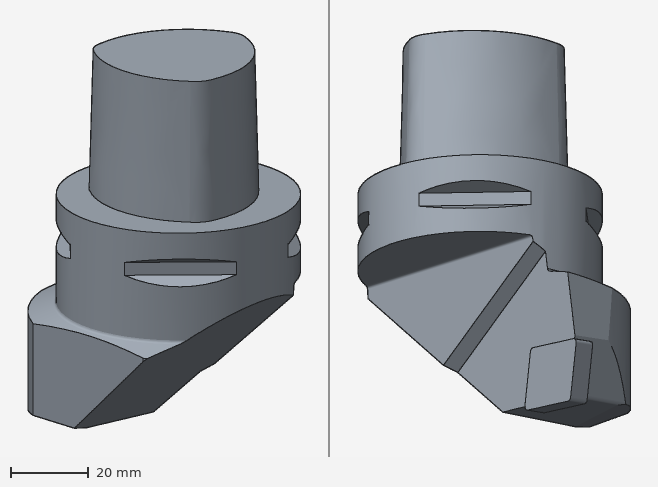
import cadquery as cq
import math

REACH = 206.0

SHANK_HEIGHT = 38.0
SIDE_DISTANCE = 20.5
SIDE_RADIUS = 29.0
LOBE_DISTANCE = 23.5
SIDE_HALF_CHORD = 17.9
SHANK_INSET = 1.0

FLANGE_RADIUS = 63.0 / 2
SHELF_Z = -20.9
SHELF_FILLET = 0.8
NECK_FILLET = 0.8
NECK_Z = -29.9

GROOVE_COUNT = 4
GROOVE_FLOOR_DISTANCE = 28.0
GROOVE_Z = -10.8
GROOVE_FLOOR_HEIGHT = 3.5
GROOVE_WALL_ANGLE = 30.0

HEAD_RADIUS = 38.8
HEAD_SLOPE = 15.5
HEAD_BOTTOM = -65.9
FRONT_Y = -33.5
RELIEF_POINT = (FLANGE_RADIUS, 0, -21.3)
RELIEF_SLOPE = 0.974
CHAMFER_Z = -56.9
CHAMFER_SLOPE = 0.3

FLANK_POINT = (-38.0, 4.0, -31.7)
FLANK_NORMAL = (-1, -0.08, 0.03)
LOWER_FLANK_POINT = (-37.3, -11.0, -46.7)
LOWER_FLANK_NORMAL = (-1, -0.12, -0.25)
UNDERSIDE_POINT = (-10.7, 2.1, -62.5)
UNDERSIDE_NORMAL = (0.058, -0.12, -1)
NOSE_RADIUS = 1.0

RAKE_POINT = (-38.0, 4.0, -31.6)
RAKE_NORMAL = (-0.07, 1, -0.13)
STEP_HEIGHT = 3.2
STEP_START = (-31.1, -24.6)
STEP_END = (3.4, -48.7)
STEP_WALL_ANGLE = 40.0

INSERT_TIP = (-34.5, -65.0)
INSERT_SIDE = 16.3
INSERT_THICKNESS = 6.2
INSERT_CORNER_RADIUS = 1.0
INSERT_BOTTOM_ANGLE = 3.8
INSERT_LEAD_ANGLE = 105.0


def polar(radius, angle):
    """Point at a radius and an angle in degrees."""
    a = math.radians(angle)
    return (radius * math.cos(a), radius * math.sin(a))


def outside(point, normal):
    """Large block lying on the outer side of a plane."""
    plane = cq.Plane(origin=point, normal=tuple(normal))
    return cq.Workplane(plane).rect(REACH, REACH).extrude(REACH)


def make_shank():
    sag = SIDE_RADIUS - math.sqrt(SIDE_RADIUS**2 - SIDE_HALF_CHORD**2)
    end_y = sag - SIDE_DISTANCE
    end_radius = math.hypot(SIDE_HALF_CHORD, end_y)
    side_half_angle = math.degrees(math.atan2(SIDE_HALF_CHORD, -end_y))
    outline = cq.Workplane("XY").moveTo(-SIDE_HALF_CHORD, end_y)
    for middle in (270, 30, 150):
        outline = outline.threePointArc(
            polar(SIDE_DISTANCE, middle), polar(end_radius, middle + side_half_angle)
        )
        outline = outline.threePointArc(
            polar(LOBE_DISTANCE, middle + 60), polar(end_radius, middle + 120 - side_half_angle)
        )
    taper = math.degrees(math.atan2(SHANK_INSET, SHANK_HEIGHT))
    return outline.close().extrude(SHANK_HEIGHT, taper=taper)


def make_turned_blank():
    """Flange, filleted neck and conical shoulder of the head, as one revolution."""
    fall = (HEAD_RADIUS - FLANGE_RADIUS) * math.tan(math.radians(HEAD_SLOPE))
    blank = (
        cq.Workplane("XZ")
        .lineTo(FLANGE_RADIUS, 0)
        .lineTo(FLANGE_RADIUS, NECK_Z)
        .lineTo(HEAD_RADIUS, NECK_Z - fall)
        .lineTo(HEAD_RADIUS, HEAD_BOTTOM)
        .lineTo(0, HEAD_BOTTOM)
        .close()
        .revolve(360, (0, 0, 0), (0, 1, 0))
    )
    return blank.edges("%CIRCLE").edges(">>Z[-2]").fillet(NECK_FILLET)


def make_nose_wedge():
    """Large wedge between the lower flank and the underside, with a rounded edge."""
    into_flank = [-n for n in LOWER_FLANK_NORMAL]
    wedge = outside(LOWER_FLANK_POINT, into_flank).cut(outside(UNDERSIDE_POINT, UNDERSIDE_NORMAL))
    edge_direction = cq.Vector(LOWER_FLANK_NORMAL).cross(cq.Vector(UNDERSIDE_NORMAL))
    return wedge.edges(cq.selectors.ParallelDirSelector(edge_direction)).fillet(NOSE_RADIUS)


def cut_head_faces(body):
    body = body.cut(outside((0, FRONT_Y, 0), (0, -1, 0)))
    body = body.cut(outside(RELIEF_POINT, (RELIEF_SLOPE, 0, -1)))
    body = body.cut(outside((0, FRONT_Y, CHAMFER_Z), (0, -CHAMFER_SLOPE, -1)))
    below_flange = outside((0, 0, NECK_Z + NECK_FILLET), (0, 0, -1))
    body = body.cut(outside(FLANK_POINT, FLANK_NORMAL).intersect(below_flange))
    return body.cut(below_flange.cut(make_nose_wedge()))


def rake_point(x, z):
    """Point of the rake face at the given X and Z."""
    x0, y0, z0 = RAKE_POINT
    nx, ny, nz = RAKE_NORMAL
    return (x, y0 - (nx * (x - x0) + nz * (z - z0)) / ny, z)


def cut_rake_faces(body):
    """Remove the +Y half below the shelf, leaving the rake face and its step."""
    below_shelf = outside((0, 0, SHELF_Z), (0, 0, -1))
    length = cq.Vector(RAKE_NORMAL).Length
    step_point = [p + STEP_HEIGHT * n / length for p, n in zip(RAKE_POINT, RAKE_NORMAL)]
    behind_step = outside(tuple(step_point), RAKE_NORMAL)

    start = cq.Vector(rake_point(*STEP_START))
    along_step = cq.Vector(rake_point(*STEP_END)) - start
    plane = cq.Plane(origin=start, xDir=along_step, normal=RAKE_NORMAL)
    before_step = (
        cq.Workplane(plane)
        .rect(REACH, REACH)
        .extrude(STEP_HEIGHT, taper=-STEP_WALL_ANGLE)
        .translate(plane.yDir * (REACH / 2))
    )
    body = body.cut(behind_step.union(before_step).intersect(below_shelf))
    shelf_corner = cq.Vector(0, 0, 1).cross(cq.Vector(RAKE_NORMAL))
    return body.edges(cq.selectors.ParallelDirSelector(shelf_corner)).fillet(SHELF_FILLET)


def make_groove(angle):
    """Flared groove with a flat floor, facing the given direction."""
    depth = FLANGE_RADIUS - GROOVE_FLOOR_DISTANCE
    floor = GROOVE_FLOOR_HEIGHT / 2
    mouth = floor + depth * math.tan(math.radians(GROOVE_WALL_ANGLE))
    return (
        cq.Workplane("XZ")
        .polyline([
            (GROOVE_FLOOR_DISTANCE, GROOVE_Z - floor),
            (FLANGE_RADIUS, GROOVE_Z - mouth),
            (FLANGE_RADIUS, GROOVE_Z + mouth),
            (GROOVE_FLOOR_DISTANCE, GROOVE_Z + floor),
        ])
        .close()
        .extrude(FLANGE_RADIUS, both=True)
        .rotate((0, 0, 0), (0, 0, 1), angle)
    )


def make_insert():
    """Rhombic prism, its top flush with the rake face."""
    inward = tuple(-n for n in RAKE_NORMAL)
    tip = cq.Vector(rake_point(*INSERT_TIP))
    plane = cq.Plane(origin=tip, xDir=(1, -RAKE_NORMAL[0], 0), normal=inward)
    bottom = polar(INSERT_SIDE, INSERT_BOTTOM_ANGLE)
    lead = polar(INSERT_SIDE, INSERT_LEAD_ANGLE)
    far = (bottom[0] + lead[0], bottom[1] + lead[1])
    rhombus = cq.Workplane(plane).polyline([(0, 0), bottom, far, lead]).close()
    prism = rhombus.extrude(INSERT_THICKNESS)
    return prism.edges(cq.selectors.ParallelDirSelector(cq.Vector(inward))).fillet(INSERT_CORNER_RADIUS)


def make_holder(insert):
    body = cut_head_faces(make_turned_blank())
    body = cut_rake_faces(body)
    for i in range(GROOVE_COUNT):
        body = body.cut(make_groove(45 + i * 360 / GROOVE_COUNT))
    return body.union(make_shank()).cut(insert)


insert = make_insert()
holder = make_holder(insert)
result = cq.Compound.makeCompound([holder.val(), insert.val()])